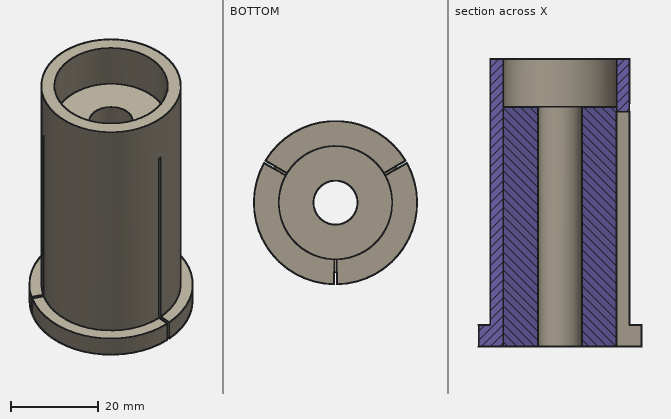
import cadquery as cq

length = 66.0
sleeve_diameter = 32.0
flange_diameter = 37.5
flange_height = 5.0
bore_diameter = 26.0

slot_count = 3
slot_width = 0.6
slot_top_gap = 12.15
first_slot_angle = 90.0

plug_recess = 11.0
plug_hole_diameter = 10.0


def make_slot_cutter(angle):
    """Radial slab from the axis past the flange, open at the base."""
    reach = flange_diameter
    return (
        cq.Workplane("XY")
        .box(reach, slot_width, length - slot_top_gap, centered=(False, True, False))
        .rotate((0, 0, 0), (0, 0, 1), angle)
    )


def make_sleeve():
    tube = cq.Workplane("XY").circle(sleeve_diameter / 2).extrude(length)
    flange = cq.Workplane("XY").circle(flange_diameter / 2).extrude(flange_height)
    bore = cq.Workplane("XY").circle(bore_diameter / 2).extrude(length)
    sleeve = tube.union(flange).cut(bore)
    for index in range(slot_count):
        angle = first_slot_angle + index * 360.0 / slot_count
        sleeve = sleeve.cut(make_slot_cutter(angle))
    return sleeve


def make_plug():
    return (
        cq.Workplane("XY")
        .circle(bore_diameter / 2)
        .circle(plug_hole_diameter / 2)
        .extrude(length - plug_recess)
    )


sleeve = make_sleeve()
plug = make_plug()
result = cq.Compound.makeCompound([sleeve.val(), plug.val()])